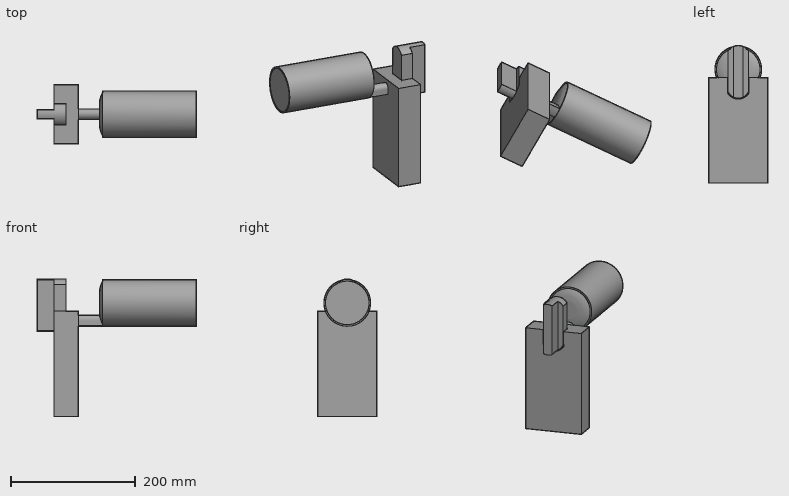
import cadquery as cq
import math

block_front = 26.8
key_back = 46.2
block_back = 66.0
barrel_front = 104.8
barrel_back = 255.0

block_width = 95.0
block_height = 169.5

key_width = 33.0
fin_width = 15.0
key_bottom = 136.2
key_top = 221.0
key_top_radius = 20.0
key_bottom_radius = 18.0
slot_clearance = 1.5
slot_width = 34.7

barrel_radius = 37.5
axis_height = 182.5
core_radius = 35.0
dome_height = 5.4
dome_flat_radius = 15.3

rod_width = 17.3
rod_top = 162.8


def arc_height(width, radius):
    """Rise of a circular arc over a chord of the given width."""
    half_width = width / 2
    return radius - math.sqrt(radius**2 - half_width**2)


def rounded_bar(x_start, x_end, width, bottom, top, bottom_radius, top_radius):
    """Bar along X with an outward arc at its top and at its bottom."""
    half_width = width / 2
    lower_corner = bottom + arc_height(width, bottom_radius)
    upper_corner = top - arc_height(width, top_radius)
    return (
        cq.Workplane("YZ", origin=(x_start, 0, 0))
        .moveTo(-half_width, lower_corner)
        .threePointArc((0, bottom), (half_width, lower_corner))
        .lineTo(half_width, upper_corner)
        .threePointArc((0, top), (-half_width, upper_corner))
        .close()
        .extrude(x_end - x_start)
    )


def make_block():
    """Upright block with a round-bottomed slot open at its front and top."""
    block = cq.Workplane("XY").box(
        block_back - block_front, block_width, block_height, centered=(False, True, False)
    ).translate((block_front, 0, 0))
    slot = rounded_bar(
        block_front, key_back, slot_width, key_bottom - slot_clearance, key_top,
        key_bottom_radius + slot_clearance, key_top_radius,
    )
    return block.cut(slot)


def make_key():
    """Key resting against the slot's back wall, narrowed to a fin at the front."""
    key = rounded_bar(
        0, key_back, key_width, key_bottom, key_top, key_bottom_radius, key_top_radius
    )
    side_width = (key_width - fin_width) / 2
    side_offset = (key_width + fin_width) / 4
    for direction in (-1, 1):
        side_cut = (
            cq.Workplane("XY")
            .center(block_front / 2, direction * side_offset)
            .rect(block_front, side_width)
            .extrude(key_top)
        )
        key = key.cut(side_cut)
    return key


def make_core():
    """Round core that fills the barrel, its front face curving out to a flat disc."""
    dome_front = barrel_front - dome_height
    dome_run = core_radius - dome_flat_radius
    dome_arc_radius = (dome_run**2 + dome_height**2) / (2 * dome_height)
    middle_run = dome_run / 2
    middle_x = dome_front + arc_height(dome_run, dome_arc_radius)
    return (
        cq.Workplane("XY")
        .moveTo(dome_front, 0)
        .lineTo(dome_front, dome_flat_radius)
        .threePointArc((middle_x, dome_flat_radius + middle_run), (barrel_front, core_radius))
        .lineTo(barrel_back, core_radius)
        .lineTo(barrel_back, 0)
        .close()
        .revolve(360, (0, 0), (1, 0))
        .translate((0, 0, axis_height))
    )


def make_barrel():
    """Plain tube around the core."""
    return (
        cq.Workplane("YZ", origin=(barrel_front, 0, axis_height))
        .circle(barrel_radius)
        .circle(core_radius)
        .extrude(barrel_back - barrel_front)
    )


def make_rod(core):
    """Rod with a half-round top and the barrel's curve below, seated on the dome."""
    rod = rounded_bar(
        block_back, barrel_front, rod_width, axis_height - barrel_radius, rod_top,
        barrel_radius, rod_width / 2,
    )
    return rod.cut(core)


block = make_block()
key = make_key()
core = make_core()
barrel = make_barrel()
rod = make_rod(core)

result = cq.Compound.makeCompound([block.val(), key.val(), core.val(), barrel.val(), rod.val()])